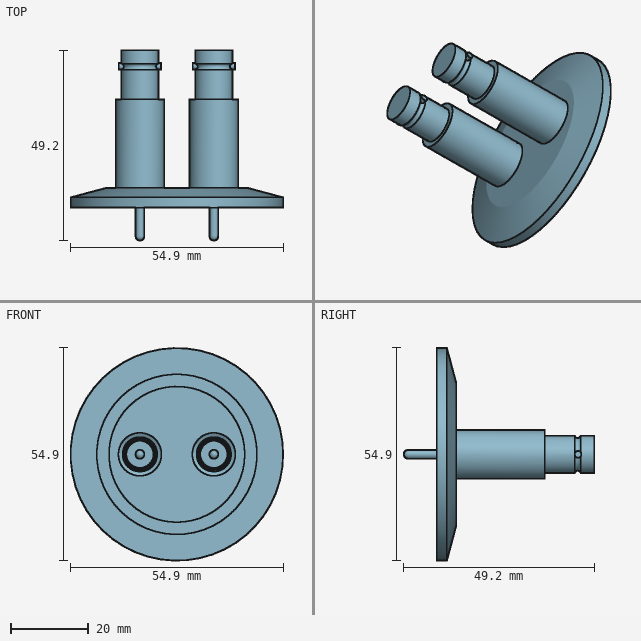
import cadquery as cq
import math


flange_radius = 54.86 / 2
flange_thickness = 5.08
rim_thickness = 2.65
clamp_angle = math.radians(15)
groove_outer_radius = 41.3 / 2
groove_inner_radius = 35.0 / 2
groove_depth = 2.7

connector_pitch = 19.05
sleeve_radius = 12.6 / 2
sleeve_end = 27.9
barrel_radius = 9.67 / 2
barrel_end = 40.64

waist_start = 35.6
waist_end = 37.15
waist_depth = 0.6
stud_radius = 0.88
stud_span = 10.95
stud_position = 36.46

recess_radius = 5.55
recess_wall_depth = 5.4
recess_cone_radius = 4.46
recess_cone_angle = math.radians(30)
trough_radius = 4.05
trough_depth = 7.0
insulator_radius = 3.7
insulator_face_radius = 3.5
insulator_setback = 0.8
insulator_bevel_height = 0.3

pin_radius = 1.15
pin_tip = -8.51


def turn(profile):
    """Revolve an XY half profile a full turn about the Y axis."""
    return profile.close().revolve(360, (0, 0, 0), (0, 1, 0))


def make_flange():
    taper_height = flange_thickness - rim_thickness
    shoulder_radius = flange_radius - taper_height / math.tan(clamp_angle)
    return turn(
        cq.Workplane("XY")
        .lineTo(groove_inner_radius, 0)
        .lineTo(groove_inner_radius, groove_depth)
        .lineTo(groove_outer_radius, groove_depth)
        .lineTo(groove_outer_radius, 0)
        .lineTo(flange_radius, 0)
        .lineTo(flange_radius, rim_thickness)
        .lineTo(shoulder_radius, flange_thickness)
        .lineTo(0, flange_thickness)
    )


def make_recess():
    """Round recess with a conical floor and trough around the standing insulator."""
    cone_height = (recess_radius - recess_cone_radius) * math.tan(recess_cone_angle)
    return turn(
        cq.Workplane("XY")
        .lineTo(recess_radius, 0)
        .lineTo(recess_radius, recess_wall_depth)
        .lineTo(recess_cone_radius, recess_wall_depth + cone_height)
        .lineTo(trough_radius, trough_depth)
        .lineTo(insulator_radius, insulator_setback + insulator_bevel_height)
        .lineTo(insulator_face_radius, insulator_setback)
        .lineTo(0, insulator_setback)
    )


def make_body():
    """Sleeve and barrel, with the round-bottomed waist groove."""
    waist_middle = (waist_start + waist_end) / 2
    return turn(
        cq.Workplane("XY")
        .moveTo(0, flange_thickness)
        .lineTo(sleeve_radius, flange_thickness)
        .lineTo(sleeve_radius, sleeve_end)
        .lineTo(barrel_radius, sleeve_end)
        .lineTo(barrel_radius, waist_start)
        .threePointArc((barrel_radius - waist_depth, waist_middle), (barrel_radius, waist_end))
        .lineTo(barrel_radius, barrel_end)
        .lineTo(0, barrel_end)
    )


def make_studs():
    """One rod along X through the barrel forms both bayonet studs."""
    return (
        cq.Workplane("YZ", origin=(-stud_span / 2, stud_position, 0))
        .circle(stud_radius)
        .extrude(stud_span)
    )


def make_pin():
    """Contact pin with a hemispherical tip."""
    tip_centre = pin_tip + pin_radius
    arc_offset = pin_radius * math.sqrt(0.5)
    return turn(
        cq.Workplane("XY")
        .moveTo(0, pin_tip)
        .threePointArc((arc_offset, tip_centre - arc_offset), (pin_radius, tip_centre))
        .lineTo(pin_radius, flange_thickness)
        .lineTo(0, flange_thickness)
    )


result = make_flange()
for x in (-connector_pitch / 2, connector_pitch / 2):
    for feature in (make_body(), make_studs()):
        result = result.union(feature.translate((x, 0, 0)))
    result = result.cut(make_recess().translate((x, 0, 0)))
    result = result.union(make_pin().translate((x, 0, 0)))